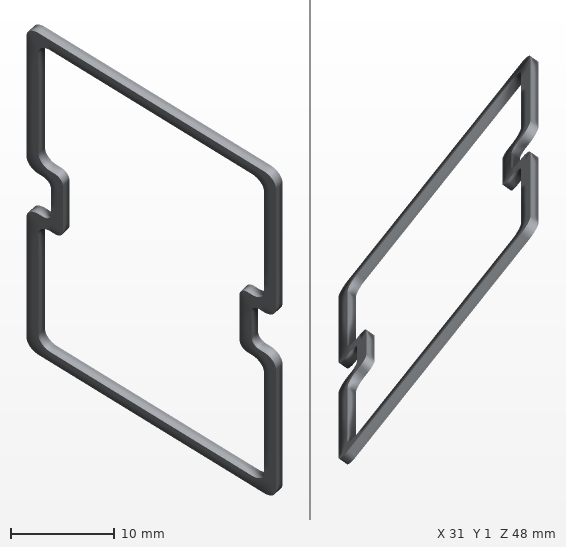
import cadquery as cq

width = 31.0
height = 48.0
thickness = 1.0

band = 1.5
notch_depth = 3.0
notch_height = 6.0

outer_radius = 1.5
inner_radius = 1.5
notch_floor_radius = 1.0
bump_radius = 1.0


def centred_plate(size_x, size_z):
    """Rectangular plate centred on the origin, lying in the XZ plane."""
    return cq.Workplane("XY").box(size_x, thickness, size_z)


def waisted_plate(inset, convex_radius, waist_radius):
    """Plate inset from the frame outline, with a rounded waist on both long sides."""
    half_width = width / 2 - inset
    size_z = height - 2 * inset
    waist_height = notch_height + 2 * inset
    plate = centred_plate(2 * half_width, size_z)
    for side in (-1, 1):
        cutter = centred_plate(2 * notch_depth, waist_height)
        plate = plate.cut(cutter.translate((side * half_width, 0, 0)))

    box_x = half_width - notch_depth / 2
    box_y = thickness / 4
    floor_corners = cq.selectors.BoxSelector((-box_x, -box_y, -waist_height), (box_x, box_y, waist_height))
    convex_corners = cq.StringSyntaxSelector("|Y") - floor_corners
    plate = plate.edges(convex_corners).fillet(convex_radius)
    return plate.edges(floor_corners).fillet(waist_radius)


outline = waisted_plate(0, outer_radius, notch_floor_radius)
opening = waisted_plate(band, inner_radius, bump_radius)
result = outline.cut(opening)